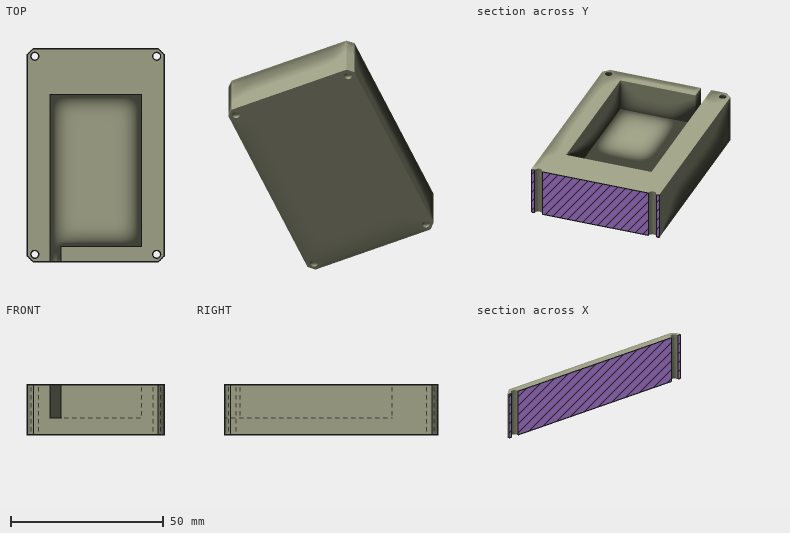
import cadquery as cq

width = 45.0
length = 70.0
height = 16.5
corner_chamfer = 2.0

pocket_width = 30.0
pocket_length = 50.0
pocket_depth = 11.0
front_wall = 5.0

slot_width = 3.6

hole_diameter = 2.5
hole_inset = 2.5

front = -length / 2
pocket_left = -pocket_width / 2
pocket_floor = height - pocket_depth


def make_block():
    block = cq.Workplane("XY").box(width, length, height, centered=(True, True, False))
    return block.edges("|Z").chamfer(corner_chamfer)


def make_cut(size_x, size_y, left, near):
    """Box from the pocket floor to the top face, placed by its left and near sides."""
    cut = cq.Workplane("XY").box(size_x, size_y, pocket_depth, centered=False)
    return cut.translate((left, near, pocket_floor))


def make_corner_holes():
    spacing_x = width - 2 * hole_inset
    spacing_y = length - 2 * hole_inset
    holes = cq.Workplane("XY").rect(spacing_x, spacing_y, forConstruction=True).vertices()
    return holes.circle(hole_diameter / 2).extrude(height)


pocket = make_cut(pocket_width, pocket_length, pocket_left, front + front_wall)
slot = make_cut(slot_width, front_wall, pocket_left, front)

result = make_block().cut(pocket).cut(slot).cut(make_corner_holes())